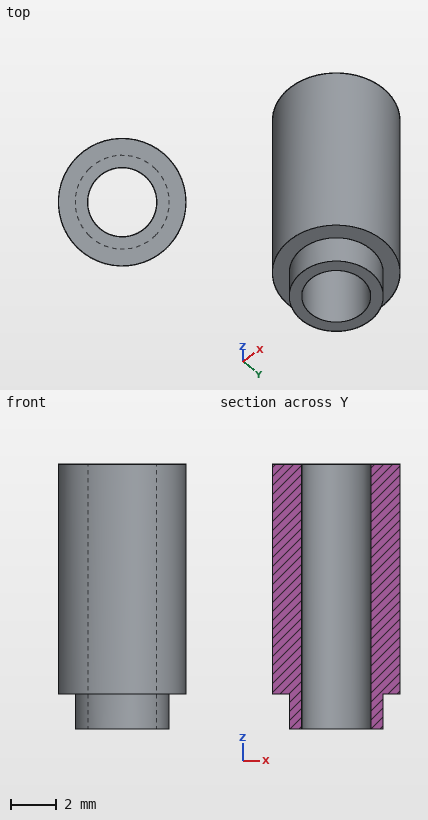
import cadquery as cq

BODY_DIAMETER = 5.56
BODY_LENGTH = 10.0
SPIGOT_DIAMETER = 4.09
SPIGOT_LENGTH = 1.53
BORE_DIAMETER = 3.0


def make_body():
    """Main cylinder, standing on the shoulder plane at Z = 0."""
    return cq.Workplane("XY").circle(BODY_DIAMETER / 2).extrude(BODY_LENGTH)


def add_spigot(part):
    """Locating spigot below the shoulder."""
    spigot = cq.Workplane("XY").circle(SPIGOT_DIAMETER / 2).extrude(-SPIGOT_LENGTH)
    return part.union(spigot)


def cut_bore(part):
    """Axial hole through the body and the spigot."""
    return part.faces(">Z").workplane().circle(BORE_DIAMETER / 2).cutThruAll()


result = cut_bore(add_spigot(make_body()))